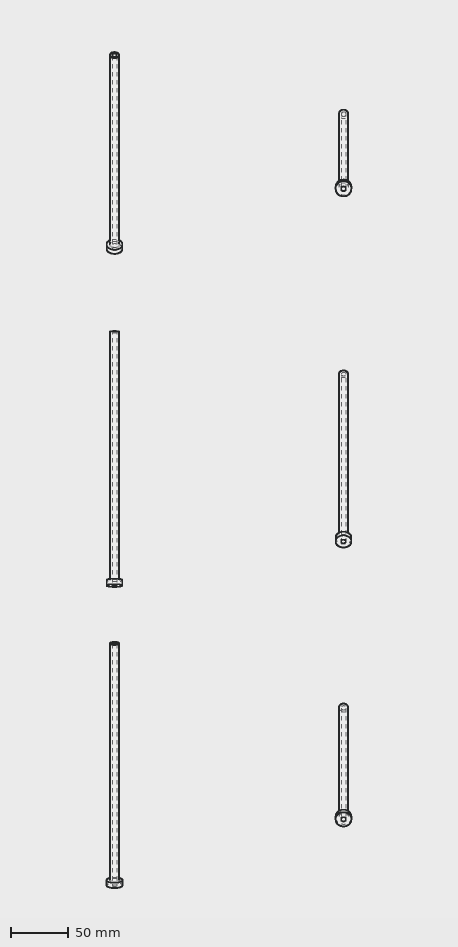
import cadquery as cq

total_length = 225.0
head_diameter = 14.0
head_height = 5.0
shaft_diameter = 8.0
bore_diameter = 4.3
neck_fillet_radius = 0.5


def make_head():
    return cq.Workplane("XY").circle(head_diameter / 2).extrude(head_height)


def add_shaft(head):
    """Add the shaft and round the corner where it meets the head."""
    sleeve = head.faces(">Z").workplane().circle(shaft_diameter / 2).extrude(total_length - head_height)
    shaft_edges = sleeve.edges(cq.selectors.RadiusNthSelector(0))
    return shaft_edges.edges("<Z").fillet(neck_fillet_radius)


def cut_bore(sleeve):
    """Cut the bore through the full length."""
    bore = cq.Workplane("XY").circle(bore_diameter / 2).extrude(total_length)
    return sleeve.cut(bore)


result = cut_bore(add_shaft(make_head()))